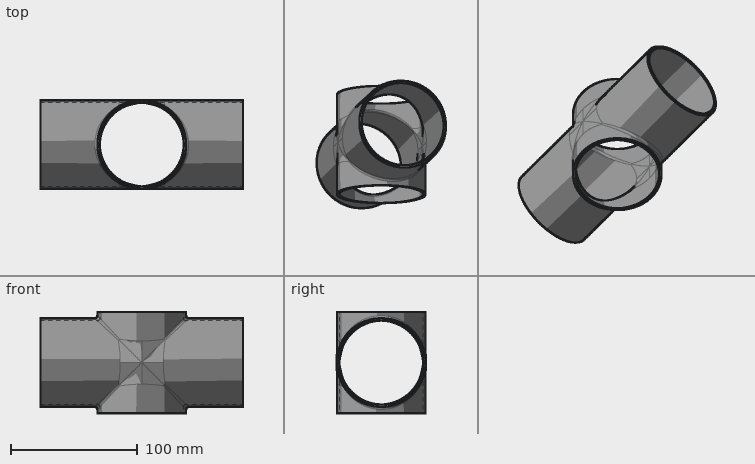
import cadquery as cq
import math

run_length = 160.0
branch_length = 80.0
outer_radius = 35.0
inner_radius = 33.0
blend_radius = 2.0

blend_end_angle = math.radians(60.0)
outer_patch_waist = 17.0
inner_patch_waist = 16.0
crown_height = 0.12

sewing_tolerance = 1e-3

ORIGIN = cq.Vector(0, 0, 0)
X_AXIS = cq.Vector(1, 0, 0)
Y_AXIS = cq.Vector(0, 1, 0)
Z_AXIS = cq.Vector(0, 0, 1)


def blended_slab(radius, depth):
    """The two crossing cylinders between y = -depth and y = depth, with blended corners."""
    run = cq.Workplane("YZ").circle(radius).extrude(run_length / 2, both=True)
    branch = cq.Workplane("XY").circle(radius).extrude(branch_length / 2, both=True)
    slab = cq.Workplane("XY").box(run_length, 2 * depth, branch_length)
    crossing = run.intersect(slab).union(branch.intersect(slab))
    return crossing.edges("%ELLIPSE").fillet(blend_radius)


def blend_end_curve(slab, depth):
    """Half of a blend's end curve in the plane y = depth, from z = x to the run's wall."""
    reach = branch_length / 2
    wedge = cq.Workplane("XZ").polyline([(0, 0), (reach, 0), (reach, reach)]).close().extrude(-depth)
    return slab.intersect(wedge).faces(">Y").edges("%BSPLINE").val()


def pipe_arm(radius, depth, waist, end_x):
    """Solid +X arm of a crossing, cut back to where its wall meets the blends and patches."""
    contact_z = end_x * radius / (radius + blend_radius)
    beyond_blends = (
        cq.Workplane("XZ")
        .polyline([(0, 0), (end_x, contact_z), (end_x, -contact_z)])
        .close()
        .extrude(radius, both=True)
    )
    corner_x = (radius + blend_radius) * math.cos(blend_end_angle)
    widening = (corner_x - waist) / (radius - depth)
    root_x = waist + widening * radius
    far_x = waist - widening * radius
    far_y = 2 * radius
    beyond_patches = (
        cq.Workplane("XY")
        .polyline([(root_x, 0), (far_x, far_y), (end_x, far_y), (end_x, -far_y), (far_x, -far_y)])
        .close()
        .extrude(radius, both=True)
    )
    pipe = cq.Workplane("YZ").circle(radius).extrude(end_x)
    return pipe.intersect(beyond_blends).intersect(beyond_patches)


def patch_facet(radius, waist, rim, blend_end):
    """One eighth of the crowned patch, between the planes z = 0 and z = x."""
    curve_ends = [blend_end.startPoint(), blend_end.endPoint()]
    diagonal_corner = min(curve_ends, key=lambda point: point.x)
    crown = cq.Vector(0, radius + crown_height, 0)
    waist_point = cq.Vector(waist, radius, 0)
    outward = X_AXIS + Z_AXIS
    along_blend = outward * math.sin(blend_end_angle) - Y_AXIS * math.cos(blend_end_angle)
    midline = cq.Edge.makeSpline([crown, waist_point], tangents=[X_AXIS, X_AXIS])
    diagonal = cq.Edge.makeSpline([crown, diagonal_corner], tangents=[outward, along_blend])
    return cq.Face.makeNSidedSurface([midline, rim, blend_end, diagonal], [])


def crossing_skin(radius, waist):
    """The faces of one blended pipe crossing, open at its four ends."""
    depth = radius * math.sin(blend_end_angle)
    slab = blended_slab(radius, depth)
    run_arm = pipe_arm(radius, depth, waist, run_length / 2)
    branch_arm = pipe_arm(radius, depth, waist, branch_length / 2)

    rim = run_arm.edges("%ELLIPSE").edges(">Y").edges(">Z").val()
    facet = patch_facet(radius, waist, rim, blend_end_curve(slab, depth))
    plus_y_facets = [facet, facet.mirror("XY")]
    minus_y_facets = [face.mirror("XZ") for face in plus_y_facets]

    skin = slab.faces("%BSPLINE").vals()
    for quarter_turns, arm in enumerate([run_arm, branch_arm, run_arm, branch_arm]):
        wall = arm.faces("%CYLINDER").vals()
        for face in wall + plus_y_facets + minus_y_facets:
            skin.append(face.rotate(ORIGIN, Y_AXIS, 90 * quarter_turns))
    return skin


def end_ring(centre, axis):
    """Flat annular end of a pipe."""
    rim = cq.Wire.makeCircle(outer_radius, centre, axis)
    bore = cq.Wire.makeCircle(inner_radius, centre, axis)
    return cq.Face.makeFromWires(rim, [bore])


def end_rings():
    rings = []
    for axis, length in ((X_AXIS, run_length), (Z_AXIS, branch_length)):
        for side in (1, -1):
            rings.append(end_ring(axis * (side * length / 2), axis))
    return rings


faces = crossing_skin(outer_radius, outer_patch_waist)
faces += crossing_skin(inner_radius, inner_patch_waist)
faces += end_rings()
wall_shell = cq.occ_impl.shapes.shell(*faces, tol=sewing_tolerance)
result = cq.Workplane(obj=cq.Solid.makeSolid(wall_shell))